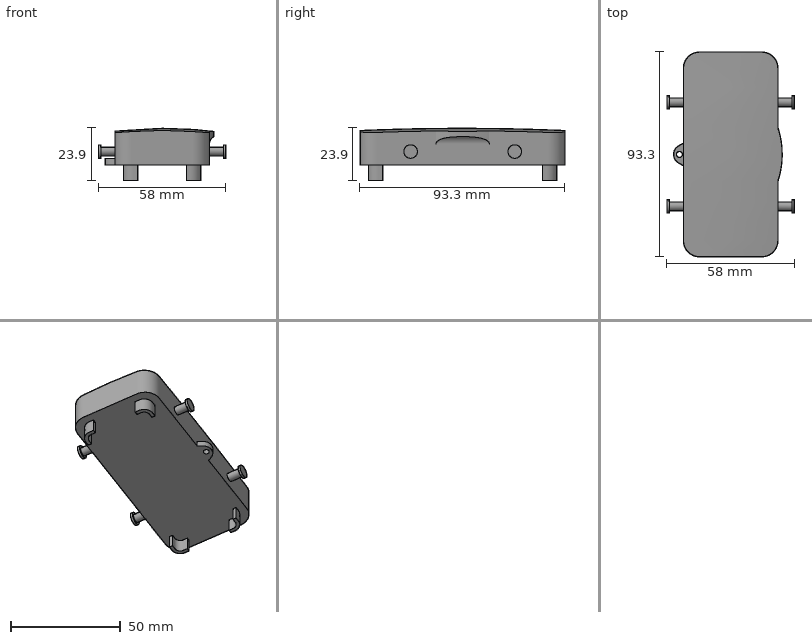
import cadquery as cq
import math

case_width = 43.1
case_length = 93.3
corner_radius = 7.5
crown_height = 16.8
trim_allowance = 1.9
crown_overrun_angle = 1.0
crown_drop_across = 1.2
crown_drop_along = 1.0

pin_span = 58.0
pin_diameter = 4.1
flange_diameter = 6.2
flange_thickness = 1.1
pin_height = 6.2
pin_offset = 23.7

tab_radius = 4.5
tab_thickness = 3.1
tab_flank_angle = 30.0
tab_hole_diameter = 2.6
tab_hole_x = -23.3

lip_length = 24.3
lip_reach = 2.0
lip_scoop_bottom = 9.6
lip_scoop_top = 13.0

foot_height = 7.1
foot_outer_x = 17.6
foot_outer_y = 42.9
foot_size = 6.6
foot_radius = 4.5
foot_wall = 1.7

wall_x = case_width / 2


def arc_radius(half_chord, rise):
    """Radius of an arc from half its chord and its rise."""
    return (half_chord**2 + rise**2) / (2 * rise)


def crown():
    """Solid under the doubly curved top: an arc across X, revolved about a deep axis parallel to X."""
    radius_across = arc_radius(wall_x, crown_drop_across)
    radius_along = arc_radius(case_length / 2, crown_drop_along)
    reach_x = wall_x + 2 * lip_reach
    shoulder_z = crown_height - radius_across + math.sqrt(radius_across**2 - reach_x**2)
    middle_x = reach_x / 2
    middle_z = crown_height - radius_across + math.sqrt(radius_across**2 - middle_x**2)
    base_z = -crown_height
    sweep_angle = 2 * math.degrees(math.asin(case_length / 2 / radius_along)) + crown_overrun_angle
    axis_z = crown_height - radius_along
    return (
        cq.Workplane("XZ")
        .moveTo(-reach_x, base_z)
        .lineTo(-reach_x, shoulder_z)
        .threePointArc((-middle_x, middle_z), (0, crown_height))
        .threePointArc((middle_x, middle_z), (reach_x, shoulder_z))
        .lineTo(reach_x, base_z)
        .close()
        .revolve(sweep_angle, (0, axis_z), (1, axis_z))
        .rotate((0, 0, axis_z), (1, 0, axis_z), -sweep_angle / 2)
    )


def case_block():
    """Round-cornered block, left tall for the crown to trim."""
    return (
        cq.Workplane("XY")
        .rect(case_width, case_length)
        .extrude(crown_height + trim_allowance)
        .edges("|Z")
        .fillet(corner_radius)
    )


def thumb_lip():
    """Bowed lip, hollowed underneath by an arc that leaves the wall vertically."""
    lip_x = wall_x + lip_reach
    bow = (
        cq.Workplane("XY")
        .moveTo(wall_x, -lip_length / 2)
        .threePointArc((lip_x, 0), (wall_x, lip_length / 2))
        .lineTo(0, lip_length / 2)
        .lineTo(0, -lip_length / 2)
        .close()
        .extrude(crown_height + trim_allowance)
    )
    profile = (
        cq.Workplane("XZ")
        .moveTo(wall_x, 0)
        .lineTo(wall_x, lip_scoop_bottom)
        .tangentArcPoint((lip_x, lip_scoop_top), relative=False)
        .lineTo(lip_x, crown_height + trim_allowance)
        .lineTo(0, crown_height + trim_allowance)
        .lineTo(0, 0)
        .close()
        .extrude(lip_length / 2, both=True)
    )
    return bow.intersect(profile)


def pin(y):
    """Pin through the case, with a flange at each end."""
    shaft = cq.Workplane("YZ").center(y, pin_height).circle(pin_diameter / 2).extrude(pin_span / 2, both=True)
    flange = (
        cq.Workplane("YZ", origin=(-pin_span / 2, 0, 0))
        .center(y, pin_height)
        .circle(flange_diameter / 2)
        .extrude(flange_thickness)
    )
    return shaft.union(flange).union(flange.mirror("YZ"))


def tab():
    """Tab with a round nose and tangent flanks that spread to the wall."""
    angle = math.radians(tab_flank_angle)
    nose_x = -wall_x - tab_radius * math.sin(angle)
    nose_y = tab_radius * math.cos(angle)
    root_y = tab_radius / math.cos(angle)
    return (
        cq.Workplane("XY")
        .moveTo(-wall_x, -root_y)
        .lineTo(nose_x, -nose_y)
        .threePointArc((-wall_x - tab_radius, 0), (nose_x, nose_y))
        .lineTo(-wall_x, root_y)
        .close()
        .extrude(tab_thickness)
        .cut(cq.Workplane("XY").center(tab_hole_x, 0).circle(tab_hole_diameter / 2).extrude(tab_thickness))
    )


def foot(side_x, side_y):
    """Angle-shaped foot that follows a case corner, round at the bend."""
    corner_x = side_x * foot_outer_x
    corner_y = side_y * foot_outer_y
    end_x = corner_x - side_x * foot_size
    end_y = corner_y - side_y * foot_size
    bend_x = corner_x - side_x * foot_radius
    bend_y = corner_y - side_y * foot_radius
    inner_radius = foot_radius - foot_wall

    def bend_middle(radius):
        diagonal = radius * math.sqrt(0.5)
        return (bend_x + side_x * diagonal, bend_y + side_y * diagonal)

    return (
        cq.Workplane("XY")
        .moveTo(end_x, corner_y)
        .lineTo(bend_x, corner_y)
        .threePointArc(bend_middle(foot_radius), (corner_x, bend_y))
        .lineTo(corner_x, end_y)
        .lineTo(corner_x - side_x * foot_wall, end_y)
        .lineTo(corner_x - side_x * foot_wall, bend_y)
        .threePointArc(bend_middle(inner_radius), (bend_x, corner_y - side_y * foot_wall))
        .lineTo(end_x, corner_y - side_y * foot_wall)
        .close()
        .extrude(-foot_height)
    )


result = case_block().union(thumb_lip()).intersect(crown(), clean=False).union(tab(), clean=False)
for side_y in (-1, 1):
    result = result.union(pin(side_y * pin_offset), clean=False)
    for side_x in (-1, 1):
        result = result.union(foot(side_x, side_y), clean=False)